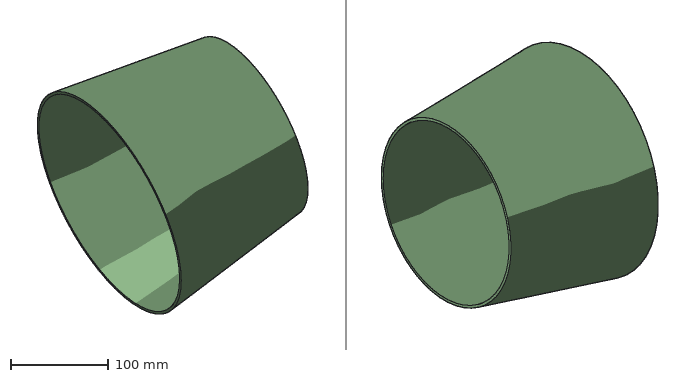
import cadquery as cq

large_diameter = 256.0
small_diameter = 206.0
length = 178.0
wall = 3.0

large_radius = large_diameter / 2
small_radius = small_diameter / 2

wall_section = (
    cq.Workplane("XY")
    .moveTo(large_radius - wall, 0)
    .lineTo(large_radius, 0)
    .lineTo(small_radius, length)
    .lineTo(small_radius - wall, length)
    .close()
)

result = wall_section.revolve(360, (0, 0, 0), (0, 1, 0))